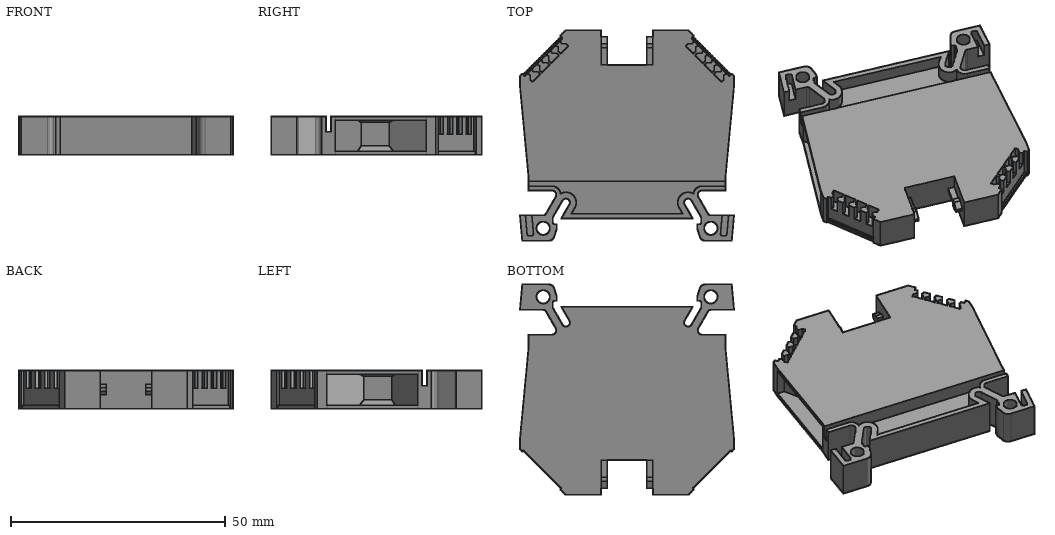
import cadquery as cq
import math

WIDTH = 50.05
HEIGHT = 49.2
THICK = 9.0
HALF = WIDTH / 2

CORNER_CUT = 10.7
TAPER_TOP = 36.25
TAPER_BOTTOM = 14.95
BASE_HALF = 23.05
BASE_Y = 11.75
SOLE_Y = 5.2

NOTCH_HALF = 6.05
NOTCH_FLOOR = 41.1
BAR_REACH = 1.5
BAR_TIP_Y = 47.7
BAR_SHOULDER_Y = 46.05
BAR_NECK_Y = 45.1
BAR_HEAD_HALF = 1.25
BAR_STEM_HALF = 0.4

RAIL_LENGTH = 12.45
RAIL_SHIFT = 0.525
RAIL_DEPTH = 0.8
LIP_DEPTH = 0.3
WALL = 0.9
SLOT_COUNT = 4
SLOT_PITCH = 3.1
SLOT_CUT = 4.15
SLOT_STEP = 0.75
SLOT_MOUTH_HALF = 0.8
SLOT_NECK_HALF = 0.525
SLOT_ROOT_HALF = SLOT_NECK_HALF + SLOT_STEP

POCKET_STEP = 1.75
POCKET_X = 17.5
FUNNEL_DEPTH = 0.75
FUNNEL_MOUTH_Y = (20.25, 28.55)
FUNNEL_BACK_Z = (2.1, 7.55)

RECESS_CUT = 3.6
RECESS_TOP = 13.95
RECESS_SHELF = 12.8
RECESS_BOTTOM = 6.35

ARM_ANGLE = math.radians(60)
GAP_CENTRE = (-14.25, 8.95)
GAP_RADIUS = 0.9
ARM_WIDTH = 1.85
ARM_OUTER = GAP_RADIUS + ARM_WIDTH
GAP_WALL_RADIUS = 2.4
ELBOW_RADIUS = 1.0
ANKLE_RADIUS = 0.7
ELBOW_WALL_RADIUS = ELBOW_RADIUS + RECESS_SHELF - BASE_Y
FOOT_TOP = 6.0
FOOT_BOTTOM_X = -24.5
FOOT_SLOT_X = (-23.75, -22.25)
FOOT_SLOT_BOTTOM = 1.2
FOOT_SLOT_ROUND = 0.5
TOE_RADIUS = 1.5
TOE_CENTRE = (-18.35, TOE_RADIUS)
HEEL_ANGLE = 17
HEEL_X = -16.35
HEEL_TOP = 3.9
INSTEP_X = -17.3
INSTEP_CHAMFER = 0.25
FOOT_HOLE = (-19.55, 2.95)
FOOT_HOLE_RADIUS = 1.525

along = (math.cos(ARM_ANGLE), math.sin(ARM_ANGLE))
across = (-math.sin(ARM_ANGLE), math.cos(ARM_ANGLE))


def shifted(point, direction, distance):
    """Point moved a distance along a unit direction."""
    return (point[0] + direction[0] * distance, point[1] + direction[1] * distance)


def on_arm_line(offset, x=None, y=None):
    """Point at a given x or y on the arm-parallel line offset from the gap axis."""
    start = shifted(GAP_CENTRE, across, offset)
    travel = (x - start[0]) / along[0] if y is None else (y - start[1]) / along[1]
    return shifted(start, along, travel)


def circle_point(centre, radius, degrees):
    """Point on a circle at an angle from +X."""
    angle = math.radians(degrees)
    return (centre[0] + radius * math.cos(angle), centre[1] + radius * math.sin(angle))


elbow_centre = on_arm_line(ARM_OUTER + ELBOW_RADIUS, y=BASE_Y - ELBOW_RADIUS)
ankle_centre = on_arm_line(ARM_OUTER + ANKLE_RADIUS, y=FOOT_TOP + ANKLE_RADIUS)


def half_body():
    """Left half of the full-thickness outline, with arm and foot."""
    heel_end = circle_point(TOE_CENTRE, TOE_RADIUS, -HEEL_ANGLE)
    heel_rise = (HEEL_X - heel_end[0]) / math.tan(math.radians(HEEL_ANGLE))
    profile = (
        cq.Workplane("XY")
        .moveTo(0, NOTCH_FLOOR)
        .lineTo(-NOTCH_HALF, NOTCH_FLOOR)
        .lineTo(-NOTCH_HALF, HEIGHT)
        .lineTo(CORNER_CUT - HALF, HEIGHT)
        .lineTo(-HALF, HEIGHT - CORNER_CUT)
        .lineTo(-HALF, TAPER_TOP)
        .lineTo(-BASE_HALF, TAPER_BOTTOM)
        .lineTo(-BASE_HALF, BASE_Y)
        .lineTo(elbow_centre[0], BASE_Y)
        .threePointArc(
            circle_point(elbow_centre, ELBOW_RADIUS, 30),
            shifted(elbow_centre, across, -ELBOW_RADIUS),
        )
        .lineTo(*shifted(ankle_centre, across, -ANKLE_RADIUS))
        .threePointArc(
            circle_point(ankle_centre, ANKLE_RADIUS, -60),
            (ankle_centre[0], FOOT_TOP),
        )
        .lineTo(-HALF, FOOT_TOP)
        .lineTo(FOOT_BOTTOM_X, 0)
        .lineTo(TOE_CENTRE[0], 0)
        .threePointArc(circle_point(TOE_CENTRE, TOE_RADIUS, -45), heel_end)
        .lineTo(HEEL_X, heel_end[1] + heel_rise)
        .lineTo(HEEL_X, HEEL_TOP)
        .lineTo(INSTEP_X + INSTEP_CHAMFER, HEEL_TOP)
        .lineTo(INSTEP_X, HEEL_TOP + INSTEP_CHAMFER)
        .lineTo(*on_arm_line(GAP_RADIUS, x=INSTEP_X))
        .lineTo(*shifted(GAP_CENTRE, across, GAP_RADIUS))
        .threePointArc(shifted(GAP_CENTRE, along, GAP_RADIUS), shifted(GAP_CENTRE, across, -GAP_RADIUS))
        .lineTo(*on_arm_line(-GAP_RADIUS, y=SOLE_Y))
        .lineTo(0, SOLE_Y)
        .close()
    )
    hole = cq.Workplane("XY").center(*FOOT_HOLE).circle(FOOT_HOLE_RADIUS).extrude(THICK)
    return profile.extrude(THICK).cut(hole)


def foot_slot():
    """Blind slot in the foot, parallel to its slanted outer edge."""
    lean = (FOOT_BOTTOM_X + HALF) / FOOT_TOP * (FOOT_TOP - FOOT_SLOT_BOTTOM)
    left, right = FOOT_SLOT_X
    return (
        cq.Workplane("XY", origin=(0, 0, THICK - RECESS_CUT))
        .polyline([
            (left, FOOT_TOP),
            (left + lean, FOOT_SLOT_BOTTOM),
            (right + lean, FOOT_SLOT_BOTTOM),
            (right, FOOT_TOP),
        ])
        .close()
        .extrude(RECESS_CUT)
        .edges("|Z and <Y")
        .fillet(FOOT_SLOT_ROUND)
    )


def half_recess():
    """Groove across the shoulders plus the hollow between the spring arms."""
    gap_x, gap_y = GAP_CENTRE
    span = math.dist(elbow_centre, GAP_CENTRE)
    bearing = math.degrees(math.atan2(gap_y - elbow_centre[1], gap_x - elbow_centre[0]))
    cosine = (span**2 + ELBOW_WALL_RADIUS**2 - GAP_WALL_RADIUS**2) / (2 * span * ELBOW_WALL_RADIUS)
    meet_angle = bearing + math.degrees(math.acos(cosine))
    cusp = circle_point(elbow_centre, ELBOW_WALL_RADIUS, meet_angle)
    return (
        cq.Workplane("XY", origin=(0, 0, THICK - RECESS_CUT))
        .moveTo(0, RECESS_TOP)
        .lineTo(-HALF, RECESS_TOP)
        .lineTo(-HALF, RECESS_SHELF)
        .lineTo(elbow_centre[0], RECESS_SHELF)
        .threePointArc(circle_point(elbow_centre, ELBOW_WALL_RADIUS, (90 + meet_angle) / 2), cusp)
        .threePointArc(
            shifted(GAP_CENTRE, along, GAP_WALL_RADIUS),
            shifted(GAP_CENTRE, across, -GAP_WALL_RADIUS),
        )
        .lineTo(*on_arm_line(-GAP_WALL_RADIUS, y=RECESS_BOTTOM))
        .lineTo(0, RECESS_BOTTOM)
        .close()
        .extrude(RECESS_CUT)
    )


def side_pocket():
    """Tapered pocket that narrows to a shallow funnel."""
    low_y, high_y = FUNNEL_MOUTH_Y
    pocket = (
        cq.Workplane("XY", origin=(0, 0, WALL))
        .polyline([
            (-HALF, TAPER_TOP),
            (POCKET_STEP - HALF, TAPER_TOP),
            (-POCKET_X, high_y),
            (-POCKET_X, low_y),
            (-BASE_HALF, TAPER_BOTTOM),
            (-HALF, TAPER_BOTTOM),
        ])
        .close()
        .extrude(THICK - 2 * WALL)
    )
    low_slope = (low_y - TAPER_BOTTOM) / (BASE_HALF - POCKET_X)
    high_slope = (TAPER_TOP - high_y) / (HALF - POCKET_STEP - POCKET_X)
    back_low_y = low_y + FUNNEL_DEPTH * low_slope
    back_high_y = high_y - FUNNEL_DEPTH * high_slope
    back_low_z, back_high_z = FUNNEL_BACK_Z
    funnel = (
        cq.Workplane("YZ", origin=(-POCKET_X, 0, 0))
        .polyline([(low_y, WALL), (high_y, WALL), (high_y, THICK - WALL), (low_y, THICK - WALL)])
        .close()
        .workplane(offset=FUNNEL_DEPTH)
        .polyline([
            (back_low_y, back_low_z),
            (back_high_y, back_low_z),
            (back_high_y, back_high_z),
            (back_low_y, back_high_z),
        ])
        .close()
        .loft(ruled=True)
    )
    return pocket.union(funnel)


def marker_rail():
    """Rail recess with flared slots; local X runs up the cut, local Y points out of it."""
    rail = (
        cq.Workplane("XY")
        .box(RAIL_LENGTH, RAIL_DEPTH, THICK - WALL, centered=(True, False, False))
        .translate((0, -RAIL_DEPTH, WALL))
    )
    lip = (
        cq.Workplane("XY")
        .box(RAIL_LENGTH, LIP_DEPTH, WALL, centered=(True, False, False))
        .translate((0, -LIP_DEPTH, 0))
    )
    cutter = rail.union(lip)
    left_side = [
        (-SLOT_MOUTH_HALF, -RAIL_DEPTH),
        (-SLOT_NECK_HALF, -RAIL_DEPTH - SLOT_STEP),
        (-SLOT_ROOT_HALF, -RAIL_DEPTH - 2 * SLOT_STEP),
        (-SLOT_ROOT_HALF, -RAIL_DEPTH - 3 * SLOT_STEP),
    ]
    right_side = [(-x, y) for x, y in reversed(left_side)]
    slot = (
        cq.Workplane("XY", origin=(0, 0, THICK - SLOT_CUT))
        .polyline(left_side + right_side)
        .close()
        .extrude(SLOT_CUT)
    )
    for index in range(SLOT_COUNT):
        offset = (index - (SLOT_COUNT - 1) / 2) * SLOT_PITCH
        cutter = cutter.union(slot.translate((offset, 0, 0)))
    cut_middle = (CORNER_CUT / 2 - HALF, HEIGHT - CORNER_CUT / 2, 0)
    return (
        cutter.translate((-RAIL_SHIFT, 0, 0))
        .rotate((0, 0, 0), (0, 0, 1), 45)
        .translate(cut_middle)
    )


def snap_bar():
    """Arrow-headed bar along the notch wall, symmetric about mid thickness."""
    upper = [
        (NOTCH_FLOOR, BAR_STEM_HALF),
        (BAR_NECK_Y, BAR_STEM_HALF),
        (BAR_NECK_Y, BAR_HEAD_HALF),
        (BAR_SHOULDER_Y, BAR_HEAD_HALF),
        (BAR_TIP_Y, BAR_STEM_HALF),
    ]
    lower = [(y, -z) for y, z in reversed(upper)]
    return (
        cq.Workplane("YZ", origin=(-NOTCH_HALF, 0, THICK / 2))
        .polyline(upper + lower)
        .close()
        .extrude(BAR_REACH)
    )


half = (
    half_body()
    .union(snap_bar())
    .cut(half_recess())
    .cut(foot_slot())
    .cut(side_pocket())
    .cut(marker_rail())
)
result = half.union(half.mirror("YZ"))